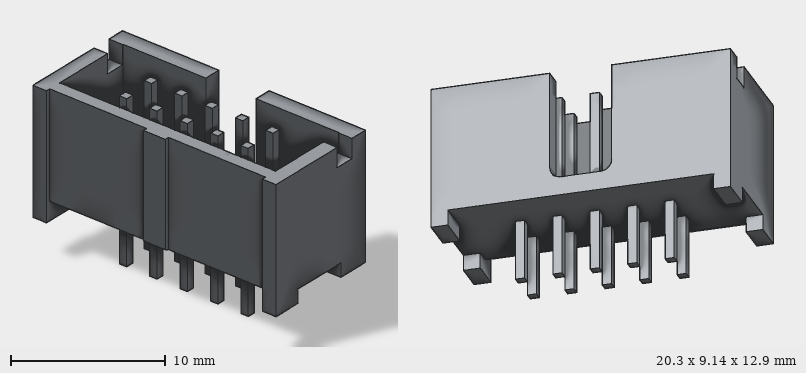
import cadquery as cq


body_length = 20.32
body_width = 9.14
body_height = 9.85
end_wall = 1.14
long_wall = 1.34
cavity_depth = 8.0
half_length = body_length / 2
half_width = body_width / 2
inner_length = body_length - 2 * end_wall

foot_height = 1.07
front_foot_width = 2.27
back_foot_width = 2.53
underside_bevel_depth = 1.3
underside_bevel_height = 0.55

front_recess = 0.33
rib_width = 1.83

key_width = 4.2
key_depth = 7.5
key_corner_radius = 0.76

notch_width = 1.51
notch_depth = 1.51
notch_from_back = 1.39

pin_columns = 5
pin_rows = 2
pin_pitch = 2.54
pin_size = 0.62
pin_tail = 3.05
pin_top_below_rim = 0.37


def box(x_range, y_range, z_range):
    """Axis-aligned box between pairs of coordinates."""
    lows, highs = zip(x_range, y_range, z_range)
    sizes = [high - low for low, high in zip(lows, highs)]
    return cq.Workplane("XY").box(*sizes, centered=False).translate(lows)


def make_block():
    """Solid block of the shroud before any cuts."""
    return box((-half_length, half_length), (-half_width, half_width), (0, body_height))


def make_cavity():
    """Open-topped mating cavity."""
    return box(
        (-inner_length / 2, inner_length / 2),
        (-half_width + long_wall, half_width - long_wall),
        (body_height - cavity_depth, body_height),
    )


def make_end_relief():
    """Gap between the front and back feet, running through both end walls."""
    return box(
        (-half_length, half_length),
        (-half_width + front_foot_width, half_width - back_foot_width),
        (0, foot_height),
    )


def make_underside_relief():
    """Raised underside between the end walls, rising in a bevel towards the front face."""
    profile = [
        (-half_width, 0),
        (half_width, 0),
        (half_width, foot_height),
        (-half_width + underside_bevel_depth, foot_height),
        (-half_width, foot_height + underside_bevel_height),
    ]
    return cq.Workplane("YZ").polyline(profile).close().extrude(inner_length / 2, both=True)


def make_front_recesses():
    """Shallow recesses in the front face, leaving a rib in the middle."""
    y_range = (-half_width, -half_width + front_recess)
    z_range = (0, body_height)
    left = box((-inner_length / 2, -rib_width / 2), y_range, z_range)
    right = box((rib_width / 2, inner_length / 2), y_range, z_range)
    return left.union(right)


def make_key_opening():
    """Opening in the back wall with rounded lower corners."""
    opening = box(
        (-key_width / 2, key_width / 2),
        (half_width - long_wall, half_width),
        (body_height - key_depth, body_height),
    )
    return opening.edges("|Y and <Z").fillet(key_corner_radius)


def make_end_notches():
    """Notches in the rims of both end walls, beside the back wall."""
    notch_back = half_width - notch_from_back
    y_range = (notch_back - notch_width, notch_back)
    z_range = (body_height - notch_depth, body_height)
    return box((-half_length, half_length), y_range, z_range)


def make_pins():
    """Square pins through the floor of the cavity."""
    pin_length = body_height - pin_top_below_rim + pin_tail
    return (
        cq.Workplane("XY", origin=(0, 0, -pin_tail))
        .rarray(pin_pitch, pin_pitch, pin_columns, pin_rows)
        .rect(pin_size, pin_size)
        .extrude(pin_length)
    )


shroud = (
    make_block()
    .cut(make_cavity())
    .cut(make_end_relief())
    .cut(make_underside_relief())
    .cut(make_front_recesses())
    .cut(make_key_opening())
    .cut(make_end_notches())
)

result = shroud.union(make_pins())